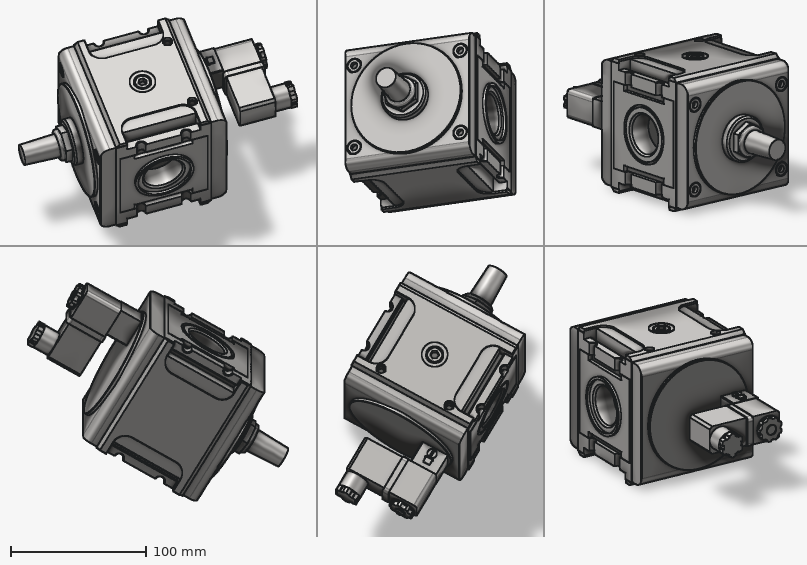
import cadquery as cq
import math

OVERALL_LENGTH = 208.5

BODY_HALF_X = 50.0
BODY_HALF_Y = 37.0
SIDE_HALF_Z = 48.5
RIDGE_HALF_X = 49.5
RIDGE_HALF_Y = 34.2
RIDGE_HALF_Z = 51.5

COVER_HALF_X = 49.2
COVER_HALF_Y = 49.4
COVER_HALF_Z = 48.1
COVER_FILLET = 7.3
COVER_CHAMFER = 0.6
PLATE_DIA = 87.0
PLATE_HALF_Y = 51.9
PLATE_CHAMFER = 0.5

PORT_DIA = 30.2
PORT_DEPTH = 17.5
PORT_CHAMFER = 1.7
PANEL_HALF_Y = 34.2
PANEL_HALF_Z = 33.5
PANEL_DEPTH = 0.2
SEAL_OUTER_DIA = 45.2
SEAL_INNER_DIA = 41.3
SEAL_GROOVE_DEPTH = 1.9
SEAL_HEIGHT = 1.9

CLAMP_HALF_Y = 28.5
RIM_TOP_Z = 43.5
RIM_INNER_X = 43.0
RIM_CHAMFER = 0.8
CLAMP_WALL_X = 39.0
CLAMP_GROOVE_Z = 37.5
SCOOP_X = 29.0
SCOOP_HALF_Y = 28.8
SCOOP_Z = 50.0
SCOOP_RADIUS = 10.0
POCKET_Z = 28.8
POCKET_TOP_Z = 33.5
POCKET_HALF_Y = 22.7
POCKET_DEPTH = 3.5
BOLT_NOTCH_DIA = 6.9
BOLT_NOTCH_Y = 17.5
BOLT_NOTCH_CHAMFER = 0.6

COVER_SCREW_X = 41.9
COVER_SCREW_Z = 32.7
COVER_SCREW_BORE_DIA = 11.0
COVER_SCREW_HEAD_DIA = 9.8
COVER_SCREW_SOCKET_DIA = 5.0
COVER_SCREW_DEPTH = 3.1

TOP_HOLE_X = 29.0
TOP_HOLE_Y = 29.2
TOP_HOLE_DIA = 7.0
TOP_HOLE_STEP_DEPTH = 3.1
TOP_HOLE_CORE_DIA = 5.0
TOP_HOLE_DEPTH = 8.3

PLUG_SPOTFACE_DIA = 19.2
PLUG_SPOTFACE_DEPTH = 0.5
PLUG_BORE_DIA = 13.0
PLUG_DIA = 11.0
PLUG_GAP_DEPTH = 1.7
PLUG_SOCKET_CORNERS = 6.7
PLUG_SOCKET_DEPTH = 4.2

COLLAR_DIA = 35.2
COLLAR_END_Y = 58.4
COLLAR_CHAMFER = 1.5
NUT_FLATS = 24.0
NUT_END_Y = 63.5
RING_END_Y = 67.0
RING_FILLET = 1.9
PIN_BASE_DIA = 18.0
PIN_TIP_DIA = 15.6
PIN_END_Y = 94.0

COIL_X_MIN = -40.8
COIL_X_MAX = -17.0
COIL_Y_MIN = 69.2
COIL_Y_MAX = 98.4
COIL_HALF_Z = 11.3
COIL_FILLET = 3.1
BASE_X_MIN = -40.6
BASE_X_MAX = -19.0
BASE_HALF_Z = 10.8
BASE_CHAMFER = 0.6
SOLENOID_AXIS_X = -30.0

GASKET_X_MAX = -12.3
GASKET_Y_MIN = 68.4
GASKET_Y_MAX = 99.8
GASKET_HALF_Z = 11.9
GASKET_FILLET = 3.1
PLUG_BOX_X_MAX = 19.5
PLUG_BOX_Y_MIN = 69.6
PLUG_BOX_Y_MAX = 97.3
PLUG_BOX_HALF_Z = 11.0
PLUG_BOX_CHAMFER = 2.0

GLAND_X = 10.5
GLAND_DIA = 18.5
GLAND_END_Y = 109.8
CAP_FLATS = 17.0
CAP_END_Y = OVERALL_LENGTH - PIN_END_Y
CAP_NOTCH_WIDTH = 3.1
CAP_NOTCH_DEPTH = 1.0

KNOB_DIA = 19.4
KNOB_START_Y = 99.6
KNOB_FLUTE_START_Y = 100.7
KNOB_END_Y = 104.0
KNOB_NECK_DIA = 10.0
KNOB_BOSS_DIA = 8.0
KNOB_BOSS_END_Y = 104.8
FLUTE_COUNT = 9
FLUTE_DIA = 5.0
FLUTE_CENTRE_RADIUS = 10.8

OVERRIDE_Y = 56.7
OVERRIDE_DIA = 7.0
OVERRIDE_HEIGHT = 1.3
OVERRIDE_SLOT_WIDTH = 1.3
OVERRIDE_SLOT_DEPTH = 0.8
OVERRIDE_TAB_WIDTH = 5.5
OVERRIDE_TAB_END_Y = 65.5
OVERRIDE_TAB_FOOT_WIDTH = 6.7
OVERRIDE_TAB_FOOT_Y = 61.5
OVERRIDE_TAB_FOOT_START_Y = 60.6

SIGNS = (-1, 1)
CUT_MARGIN = 2.0
HEX_SIDES = 6
HEX_HALF_ANGLE = 180 / HEX_SIDES
HEX_CORNER_RATIO = 1 / math.cos(math.radians(HEX_HALF_ANGLE))


def block(x_min, x_max, y_min, y_max, z_min, z_max):
    """Box between the given limits."""
    return cq.Workplane("XY").box(
        x_max - x_min, y_max - y_min, z_max - z_min, centered=False
    ).translate((x_min, y_min, z_min))


def rod_y(diameter, y_start, y_end, x=0, z=0):
    """Cylinder along Y from y_start to y_end."""
    start = cq.Vector(x, y_start, z)
    return cq.Workplane(
        cq.Solid.makeCylinder(diameter / 2, y_end - y_start, start, cq.Vector(0, 1, 0))
    )


def rod_z(diameter, z_start, z_end, x=0, y=0):
    """Cylinder along Z from z_start to z_end."""
    return cq.Workplane(
        cq.Solid.makeCylinder(diameter / 2, z_end - z_start, cq.Vector(x, y, z_start))
    )


def hex_y(flats, y_start, y_end, x=0):
    """Hexagonal prism along Y with corners at top and bottom and flats facing +X and -X."""
    prism = cq.Workplane("XZ").polygon(HEX_SIDES, flats * HEX_CORNER_RATIO).extrude(y_start - y_end)
    return prism.rotate((0, 0, 0), (0, 1, 0), HEX_HALF_ANGLE).translate((x, y_start, 0))


def housing_shell():
    """Central block with chamfered lands, end covers and round end plates."""
    covers = (
        cq.Workplane("XY")
        .box(2 * COVER_HALF_X, 2 * COVER_HALF_Y, 2 * COVER_HALF_Z)
        .edges("|Z").chamfer(COVER_CHAMFER)
        .edges("|X").fillet(COVER_FILLET)
    )
    sides = cq.Workplane("XY").box(2 * BODY_HALF_X, 2 * BODY_HALF_Y, 2 * SIDE_HALF_Z)
    land_outline = [
        (-BODY_HALF_Y, -SIDE_HALF_Z),
        (-RIDGE_HALF_Y, -RIDGE_HALF_Z),
        (RIDGE_HALF_Y, -RIDGE_HALF_Z),
        (BODY_HALF_Y, -SIDE_HALF_Z),
        (BODY_HALF_Y, SIDE_HALF_Z),
        (RIDGE_HALF_Y, RIDGE_HALF_Z),
        (-RIDGE_HALF_Y, RIDGE_HALF_Z),
        (-BODY_HALF_Y, SIDE_HALF_Z),
    ]
    lands = cq.Workplane("YZ").polyline(land_outline).close().extrude(RIDGE_HALF_X, both=True)
    plates = rod_y(PLATE_DIA, -PLATE_HALF_Y, PLATE_HALF_Y).edges().chamfer(PLATE_CHAMFER)
    return covers.union(sides).union(lands).union(plates)


def clamp_recess():
    """Cutter for the clamp recess of the +X, +Z edge."""
    top = RIDGE_HALF_Z + CUT_MARGIN
    outside = BODY_HALF_X + CUT_MARGIN
    above_rim = block(CLAMP_WALL_X, outside, -CLAMP_HALF_Y, CLAMP_HALF_Y, RIM_TOP_Z, top)
    groove_outline = [
        (CLAMP_WALL_X, CLAMP_GROOVE_Z),
        (RIM_INNER_X, CLAMP_GROOVE_Z),
        (RIM_INNER_X, RIM_TOP_Z - RIM_CHAMFER),
        (RIM_INNER_X + RIM_CHAMFER, RIM_TOP_Z),
        (CLAMP_WALL_X, RIM_TOP_Z),
    ]
    groove = cq.Workplane("XZ").polyline(groove_outline).close().extrude(CLAMP_HALF_Y, both=True)
    scoop = (
        block(SCOOP_X, outside, -SCOOP_HALF_Y, SCOOP_HALF_Y, SCOOP_Z, top)
        .edges("|Z and <X").fillet(SCOOP_RADIUS)
    )
    pocket = block(
        BODY_HALF_X - POCKET_DEPTH, outside, -POCKET_HALF_Y, POCKET_HALF_Y, POCKET_Z, POCKET_TOP_Z
    )
    cutter = above_rim.union(groove).union(scoop).union(pocket)
    for sign in SIGNS:
        notch = rod_z(BOLT_NOTCH_DIA, POCKET_TOP_Z, RIM_TOP_Z, BODY_HALF_X, sign * BOLT_NOTCH_Y)
        mouth = cq.Workplane(cq.Solid.makeCone(
            BOLT_NOTCH_DIA / 2,
            BOLT_NOTCH_DIA / 2 + BOLT_NOTCH_CHAMFER,
            BOLT_NOTCH_CHAMFER,
            cq.Vector(BODY_HALF_X, sign * BOLT_NOTCH_Y, RIM_TOP_Z - BOLT_NOTCH_CHAMFER),
        ))
        cutter = cutter.union(notch).union(mouth)
    return cutter


def port():
    """Cutter for the blind +X port with its chamfered mouth."""
    face = cq.Workplane("YZ").workplane(offset=BODY_HALF_X)
    bore = face.circle(PORT_DIA / 2).extrude(-PORT_DEPTH)
    mouth = cq.Workplane(cq.Solid.makeCone(
        PORT_DIA / 2 + PORT_CHAMFER,
        PORT_DIA / 2,
        PORT_CHAMFER,
        cq.Vector(BODY_HALF_X, 0, 0),
        cq.Vector(-1, 0, 0),
    ))
    return bore.union(mouth)


def port_panel():
    """Cutter for the shallow panel around the +X port."""
    return block(
        BODY_HALF_X - PANEL_DEPTH, BODY_HALF_X,
        -PANEL_HALF_Y, PANEL_HALF_Y, -PANEL_HALF_Z, PANEL_HALF_Z,
    )


def seal_ring(length):
    """Ring around the +X port, starting at the panel; a negative length goes inward."""
    panel = cq.Workplane("YZ").workplane(offset=BODY_HALF_X - PANEL_DEPTH)
    return panel.circle(SEAL_OUTER_DIA / 2).circle(SEAL_INNER_DIA / 2).extrude(length)


def cover_screw_recess(x, z):
    """Cutter that leaves a flush socket head inside its counterbore in the -Y cover."""
    floor_y = COVER_SCREW_DEPTH - COVER_HALF_Y
    bore = rod_y(COVER_SCREW_BORE_DIA, -COVER_HALF_Y, floor_y, x, z)
    head = rod_y(COVER_SCREW_HEAD_DIA, -COVER_HALF_Y, floor_y, x, z)
    socket = rod_y(COVER_SCREW_SOCKET_DIA, -COVER_HALF_Y, floor_y, x, z)
    return bore.cut(head).union(socket)


def top_hole(x):
    """Cutter for a stepped hole in the top land."""
    step = rod_z(TOP_HOLE_DIA, RIDGE_HALF_Z - TOP_HOLE_STEP_DEPTH, RIDGE_HALF_Z, x, TOP_HOLE_Y)
    core = rod_z(TOP_HOLE_CORE_DIA, RIDGE_HALF_Z - TOP_HOLE_DEPTH, RIDGE_HALF_Z, x, TOP_HOLE_Y)
    return step.union(core)


def top_plug_recess():
    """Cutter that shapes the hexagon socket plug in the middle of the top land."""
    spotface_z = RIDGE_HALF_Z - PLUG_SPOTFACE_DEPTH
    spotface = rod_z(PLUG_SPOTFACE_DIA, spotface_z, RIDGE_HALF_Z)
    gap = rod_z(PLUG_BORE_DIA, spotface_z - PLUG_GAP_DEPTH, spotface_z).cut(
        rod_z(PLUG_DIA, spotface_z - PLUG_GAP_DEPTH, spotface_z)
    )
    socket = (
        cq.Workplane("XY").workplane(offset=spotface_z)
        .polygon(HEX_SIDES, PLUG_SOCKET_CORNERS).extrude(-PLUG_SOCKET_DEPTH)
        .rotate((0, 0, 0), (0, 0, 1), HEX_HALF_ANGLE)
    )
    return spotface.union(gap).union(socket)


def stem():
    """Collar, nut, ring and tapered pin on the -Y end plate."""
    collar = rod_y(COLLAR_DIA, -COLLAR_END_Y, -PLATE_HALF_Y).faces("<Y").chamfer(COLLAR_CHAMFER)
    nut = hex_y(NUT_FLATS, -NUT_END_Y, -COLLAR_END_Y)
    ring = rod_y(NUT_FLATS, -RING_END_Y, -NUT_END_Y).faces("<Y").edges().fillet(RING_FILLET)
    pin = cq.Workplane(cq.Solid.makeCone(
        PIN_BASE_DIA / 2,
        PIN_TIP_DIA / 2,
        PIN_END_Y - RING_END_Y,
        cq.Vector(0, -RING_END_Y, 0),
        cq.Vector(0, -1, 0),
    ))
    return collar.union(nut).union(ring).union(pin)


def make_housing():
    body = housing_shell()
    right_top = clamp_recess()
    right_bottom = right_top.mirror("XY")
    for cutter in (right_top, right_bottom, port_panel(), port()):
        body = body.cut(cutter).cut(cutter.mirror("YZ"))
    body = body.cut(seal_ring(-SEAL_GROOVE_DEPTH).mirror("YZ"))
    body = body.union(seal_ring(SEAL_HEIGHT + PANEL_DEPTH))
    for x_sign in SIGNS:
        body = body.cut(top_hole(x_sign * TOP_HOLE_X))
        for z_sign in SIGNS:
            body = body.cut(cover_screw_recess(x_sign * COVER_SCREW_X, z_sign * COVER_SCREW_Z))
    return body.cut(top_plug_recess()).union(stem())


def manual_override():
    """Slotted screw head and tab on top of the solenoid base."""
    z_top = BASE_HALF_Z + OVERRIDE_HEIGHT
    screw = rod_z(OVERRIDE_DIA, BASE_HALF_Z, z_top, SOLENOID_AXIS_X, OVERRIDE_Y)
    slot = cq.Workplane("XY").box(
        OVERRIDE_SLOT_WIDTH, OVERRIDE_DIA, 2 * OVERRIDE_SLOT_DEPTH
    ).translate((SOLENOID_AXIS_X, OVERRIDE_Y, z_top))
    half_tab = OVERRIDE_TAB_WIDTH / 2
    half_foot = OVERRIDE_TAB_FOOT_WIDTH / 2
    tab = block(
        SOLENOID_AXIS_X - half_tab, SOLENOID_AXIS_X + half_tab,
        OVERRIDE_TAB_FOOT_Y, OVERRIDE_TAB_END_Y, BASE_HALF_Z, z_top,
    )
    foot = block(
        SOLENOID_AXIS_X - half_foot, SOLENOID_AXIS_X + half_foot,
        OVERRIDE_TAB_FOOT_START_Y, OVERRIDE_TAB_FOOT_Y, BASE_HALF_Z, z_top,
    )
    return screw.cut(slot).union(tab).union(foot)


def knob():
    """Fluted retaining knob on the coil."""
    neck = rod_y(KNOB_NECK_DIA, COIL_Y_MAX, KNOB_START_Y, SOLENOID_AXIS_X)
    disc = rod_y(KNOB_DIA, KNOB_START_Y, KNOB_END_Y, SOLENOID_AXIS_X)
    boss = rod_y(KNOB_BOSS_DIA, KNOB_END_Y, KNOB_BOSS_END_Y, SOLENOID_AXIS_X)
    for index in range(FLUTE_COUNT):
        angle = math.pi + 2 * math.pi * index / FLUTE_COUNT
        x = SOLENOID_AXIS_X + FLUTE_CENTRE_RADIUS * math.cos(angle)
        z = FLUTE_CENTRE_RADIUS * math.sin(angle)
        disc = disc.cut(rod_y(FLUTE_DIA, KNOB_FLUTE_START_Y, KNOB_END_Y, x, z))
    return neck.union(disc).union(boss)


def cable_gland():
    """Round gland with a hexagonal cap that has one notch in each flat."""
    gland = rod_y(GLAND_DIA, PLUG_BOX_Y_MAX, GLAND_END_Y, GLAND_X)
    cap = hex_y(CAP_FLATS, GLAND_END_Y, CAP_END_Y, GLAND_X)
    notch = cq.Workplane("XY").box(
        2 * CAP_NOTCH_DEPTH, CAP_END_Y - GLAND_END_Y, CAP_NOTCH_WIDTH
    ).translate((GLAND_X + CAP_FLATS / 2, (GLAND_END_Y + CAP_END_Y) / 2, 0))
    for index in range(HEX_SIDES):
        cap = cap.cut(notch.rotate((GLAND_X, 0, 0), (GLAND_X, 1, 0), 2 * HEX_HALF_ANGLE * index))
    return gland.union(cap)


def make_solenoid():
    base = block(
        BASE_X_MIN, BASE_X_MAX, PLATE_HALF_Y, COIL_Y_MIN, -BASE_HALF_Z, BASE_HALF_Z
    ).edges("|Y and >X").chamfer(BASE_CHAMFER)
    coil = block(
        COIL_X_MIN, COIL_X_MAX, COIL_Y_MIN, COIL_Y_MAX, -COIL_HALF_Z, COIL_HALF_Z
    ).edges("|Y and <X").fillet(COIL_FILLET)
    gasket = block(
        COIL_X_MAX, GASKET_X_MAX, GASKET_Y_MIN, GASKET_Y_MAX, -GASKET_HALF_Z, GASKET_HALF_Z
    ).edges("|X").fillet(GASKET_FILLET)
    plug_box = block(
        GASKET_X_MAX, PLUG_BOX_X_MAX, PLUG_BOX_Y_MIN, PLUG_BOX_Y_MAX,
        -PLUG_BOX_HALF_Z, PLUG_BOX_HALF_Z,
    ).edges("|Y and >X").chamfer(PLUG_BOX_CHAMFER)
    solenoid = base.union(coil).union(gasket).union(plug_box)
    return solenoid.union(manual_override()).union(knob()).union(cable_gland())


housing = make_housing()
solenoid = make_solenoid()
result = cq.Compound.makeCompound([housing.solids().val(), solenoid.solids().val()])